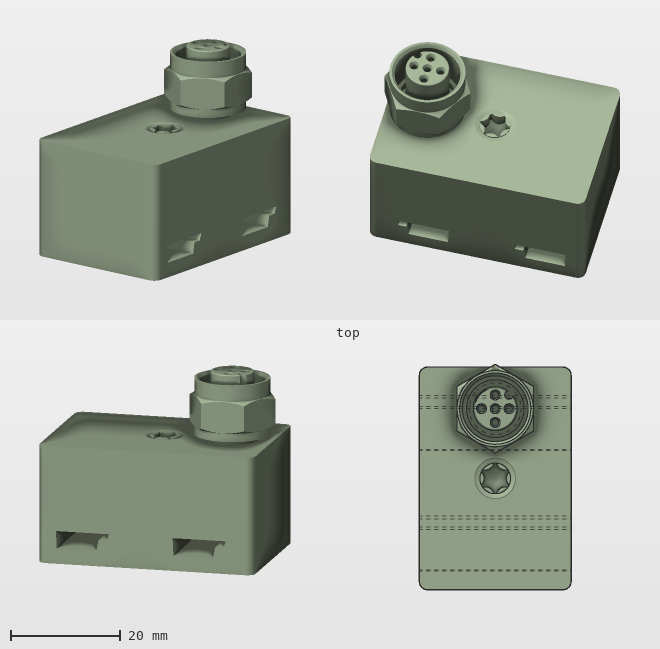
import cadquery as cq
import math

BODY_WIDTH = 27.7
BODY_LENGTH = 40.6
BODY_HEIGHT = 21.98
CORNER_RADIUS = 1.5

SLOT_PITCH = 21.98
SLOT_BOTTOM = 2.8
SLOT_STEP = 4.85
SLOT_TOP = 6.12
FIRST_SLOT_Y = 5.1
SLOT_LENGTH = 10.02
SLOT_LIP_END = 9.55
SLOT_STEP_START = 8.0
SLOT_FLOOR_END = 7.6
SLOT_FLOOR_START = 0.15

SINK_RADIUS = 3.7
SINK_DEPTH = 0.25
SOCKET_RADIUS = 2.8
SOCKET_DEPTH = 1.97
SOCKET_TIP_DEPTH = 1.03
LOBE_COUNT = 6
LOBE_RADIUS = 1.65
LOBE_INNER_RADIUS = 2.0

OVERHANG = 0.5
HEX_ACROSS_FLATS = 14.0
HEX_RADIUS = HEX_ACROSS_FLATS / math.sqrt(3)
CONNECTOR_Y = BODY_LENGTH / 2 + OVERHANG - HEX_RADIUS
NECK_RADIUS = 4.72
COLLAR_RADIUS = 6.95
NECK_HEIGHT = 1.03
LOWER_COLLAR_HEIGHT = 1.55
HEX_HEIGHT = 6.0
UPPER_COLLAR_HEIGHT = 3.0
HEX_CHAMFER_ANGLE = 30
COLLAR_BASE_Z = BODY_HEIGHT + NECK_HEIGHT
HEX_BASE_Z = COLLAR_BASE_Z + LOWER_COLLAR_HEIGHT
HEX_TOP_Z = HEX_BASE_Z + HEX_HEIGHT
RIM_Z = HEX_TOP_Z + UPPER_COLLAR_HEIGHT

MOUTH_RADIUS = 6.5
BORE_RADIUS = 6.0
RECESS_RADIUS = 5.25
RECESS_DEPTH = 1.5
BORE_FLOOR_Z = HEX_BASE_Z + RECESS_DEPTH

CORE_RADIUS = 4.0
CORE_TOP_Z = 34.8
CORE_EDGE_RADIUS = 0.2
CONTACT_CIRCLE_RADIUS = 2.5
CONTACT_RADIUS = 0.6
CONTACT_MOUTH_RADIUS = 0.9
CONTACT_SINK_DEPTH = 0.55
CONTACT_DEPTH = 4.95
NOTCH_CIRCLE_RADIUS = 3.55
NOTCH_RADIUS = 0.8
NOTCH_ANGLE = 45


def cylinder(radius, bottom, top, x=0.0, y=0.0):
    return cq.Workplane("XY", origin=(x, y, bottom)).circle(radius).extrude(top - bottom)


def turned(points):
    """Revolve a closed (radius, height) outline about the Z axis."""
    return cq.Workplane("XZ").polyline(points).close().revolve(360, (0, 0), (0, 1))


def polar(radius, degrees):
    angle = math.radians(degrees)
    return radius * math.cos(angle), radius * math.sin(angle)


def housing():
    block = cq.Workplane("XY").box(BODY_WIDTH, BODY_LENGTH, BODY_HEIGHT, centered=(True, True, False))
    block = block.edges("|Z").fillet(CORNER_RADIUS)
    for start in (FIRST_SLOT_Y, FIRST_SLOT_Y - SLOT_PITCH):
        block = block.cut(clip_slot(start))
    return block


def clip_slot(start):
    outline = [
        (start, SLOT_TOP),
        (start + SLOT_LENGTH, SLOT_TOP),
        (start + SLOT_LIP_END, SLOT_STEP),
        (start + SLOT_STEP_START, SLOT_STEP),
        (start + SLOT_FLOOR_END, SLOT_BOTTOM),
        (start + SLOT_FLOOR_START, SLOT_BOTTOM),
    ]
    return cq.Workplane("YZ").polyline(outline).close().extrude(BODY_WIDTH / 2, both=True)


def screw_recess():
    """Rim sloping down towards flush-topped lobes, and the socket between the lobes."""
    sink_z = BODY_HEIGHT - SINK_DEPTH
    floor_z = BODY_HEIGHT - SOCKET_DEPTH
    tip_z = floor_z - SOCKET_TIP_DEPTH
    rim = turned([(SOCKET_RADIUS, sink_z), (SINK_RADIUS, BODY_HEIGHT), (SOCKET_RADIUS, BODY_HEIGHT)])
    socket = turned([(0, tip_z), (SOCKET_RADIUS, floor_z), (SOCKET_RADIUS, BODY_HEIGHT), (0, BODY_HEIGHT)])
    for i in range(LOBE_COUNT):
        x, y = polar(LOBE_INNER_RADIUS + LOBE_RADIUS, i * 360 / LOBE_COUNT)
        socket = socket.cut(cylinder(LOBE_RADIUS, tip_z, BODY_HEIGHT, x, y))
    return rim.union(socket)


def hex_nut():
    """Hexagon with corners on the Y axis, bevelled at both ends by a cone."""
    hexagon = (
        cq.Workplane("XY", origin=(0, 0, HEX_BASE_Z))
        .polygon(6, 2 * HEX_RADIUS)
        .extrude(HEX_HEIGHT)
        .rotate((0, 0, 0), (0, 0, 1), 90)
    )
    drop = (HEX_RADIUS - COLLAR_RADIUS) * math.tan(math.radians(HEX_CHAMFER_ANGLE))
    bevel = turned([
        (0, HEX_BASE_Z),
        (COLLAR_RADIUS, HEX_BASE_Z),
        (HEX_RADIUS, HEX_BASE_Z + drop),
        (HEX_RADIUS, HEX_TOP_Z - drop),
        (COLLAR_RADIUS, HEX_TOP_Z),
        (0, HEX_TOP_Z),
    ])
    return hexagon.intersect(bevel)


def nut_bore():
    mouth_depth = MOUTH_RADIUS - BORE_RADIUS
    return turned([
        (0, HEX_BASE_Z),
        (RECESS_RADIUS, HEX_BASE_Z),
        (RECESS_RADIUS, BORE_FLOOR_Z),
        (BORE_RADIUS, BORE_FLOOR_Z),
        (BORE_RADIUS, RIM_Z - mouth_depth),
        (MOUTH_RADIUS, RIM_Z),
        (0, RIM_Z),
    ])


def contact_hole(x, y):
    hole = turned([
        (0, CORE_TOP_Z - CONTACT_DEPTH),
        (CONTACT_RADIUS, CORE_TOP_Z - CONTACT_DEPTH),
        (CONTACT_RADIUS, CORE_TOP_Z - CONTACT_SINK_DEPTH),
        (CONTACT_MOUTH_RADIUS, CORE_TOP_Z),
        (0, CORE_TOP_Z),
    ])
    return hole.translate((x, y, 0))


def socket_core():
    core = cylinder(CORE_RADIUS, HEX_BASE_Z, CORE_TOP_Z).faces(">Z").edges().fillet(CORE_EDGE_RADIUS)
    contacts = [(0, 0)] + [polar(CONTACT_CIRCLE_RADIUS, angle) for angle in (0, 90, 180, 270)]
    for x, y in contacts:
        core = core.cut(contact_hole(x, y))
    x, y = polar(NOTCH_CIRCLE_RADIUS, NOTCH_ANGLE)
    return core.cut(cylinder(NOTCH_RADIUS, HEX_BASE_Z, CORE_TOP_Z, x, y))


def connector():
    nut = cylinder(COLLAR_RADIUS, COLLAR_BASE_Z, RIM_Z).union(hex_nut()).cut(nut_bore())
    neck = cylinder(NECK_RADIUS, BODY_HEIGHT, COLLAR_BASE_Z)
    return neck.union(nut).union(socket_core()).translate((0, CONNECTOR_Y, 0))


result = housing().cut(screw_recess()).union(connector())